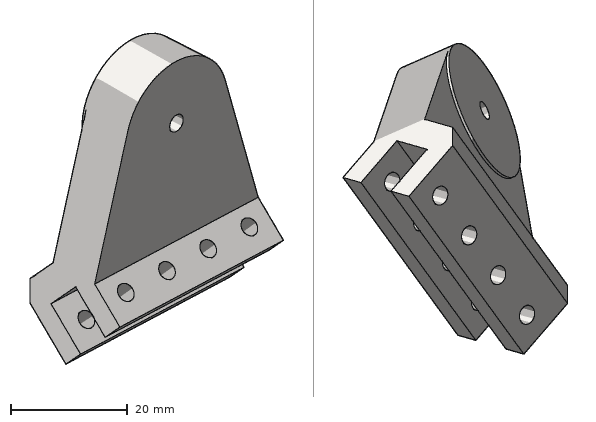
import cadquery as cq
import math

plate_thickness = 10.0
width = 40.0
height_above_clamp = 36.0
head_diameter = 24.85
pad_thickness = 0.5
bore_diameter = 3.3

clamp_back_x = -10.5
clamp_tip_x = 11.05
clamp_bottom_z = -19.05
arm_thickness = 5.0
slot_depth = 10.0

screw_diameter = 3.3
screw_count = 4
screw_pitch = 10.05
screw_tip_distance = 4.8

half_plate = plate_thickness / 2
head_radius = head_diameter / 2
head_z = height_above_clamp - head_radius
clamp_tip_z = half_plate - clamp_tip_x


def diagonal(point, along=0, across=0):
    """Move a (x, z) point into the clamp slot (along) and away from its lower arm (across)."""
    x, z = point
    step = math.sqrt(0.5)
    return (x + (across - along) * step, z + (across + along) * step)


def make_plate():
    """Tapered plate whose sides run tangent into the round head."""
    half_width = width / 2
    distance = math.hypot(half_width, head_z)
    tangent_angle = math.acos(head_radius / distance) - math.atan2(head_z, half_width)
    tangent_y = head_radius * math.cos(tangent_angle)
    tangent_z = head_z + head_radius * math.sin(tangent_angle)
    return (
        cq.Workplane("YZ", origin=(-half_plate, 0, 0))
        .moveTo(-half_width, 0)
        .lineTo(half_width, 0)
        .lineTo(tangent_y, tangent_z)
        .threePointArc((0, height_above_clamp), (-tangent_y, tangent_z))
        .close()
        .extrude(plate_thickness)
    )


def make_pad():
    """Thin round pad on the -X face of the head."""
    return (
        cq.Workplane("YZ", origin=(-half_plate, 0, head_z))
        .circle(head_radius)
        .extrude(-pad_thickness)
    )


upper_tip = (clamp_tip_x, clamp_tip_z)
lower_tip = (clamp_tip_x - (clamp_tip_z - clamp_bottom_z), clamp_bottom_z)
upper_mouth = diagonal(upper_tip, across=-arm_thickness)
lower_mouth = diagonal(lower_tip, across=arm_thickness)


def make_clamp():
    outline = [
        (-half_plate, 0),
        (half_plate, 0),
        upper_tip,
        upper_mouth,
        diagonal(upper_mouth, along=slot_depth),
        diagonal(lower_mouth, along=slot_depth),
        lower_mouth,
        lower_tip,
        (clamp_back_x, clamp_bottom_z + lower_tip[0] - clamp_back_x),
        (clamp_back_x, clamp_back_x + half_plate),
    ]
    return cq.Workplane("XZ").polyline(outline).close().extrude(width / 2, both=True)


def make_bore():
    """Hole along X through the pad and the head."""
    return (
        cq.Workplane("YZ", origin=(-half_plate - pad_thickness, 0, head_z))
        .circle(bore_diameter / 2)
        .extrude(plate_thickness + pad_thickness)
    )


def make_screw_holes():
    """Row of holes square to the arms, passing through both of them."""
    span = math.dist(upper_tip, lower_tip)
    start_x, start_z = diagonal(lower_tip, along=screw_tip_distance)
    across_arms = cq.Vector(1, 0, 1)
    holes = cq.Workplane()
    for index in range(screw_count):
        y = (index - (screw_count - 1) / 2) * screw_pitch
        start = cq.Vector(start_x, y, start_z)
        holes = holes.add(cq.Solid.makeCylinder(screw_diameter / 2, span, start, across_arms))
    return holes.combine()


body = make_plate().union(make_pad()).union(make_clamp())
result = body.cut(make_bore()).cut(make_screw_holes())